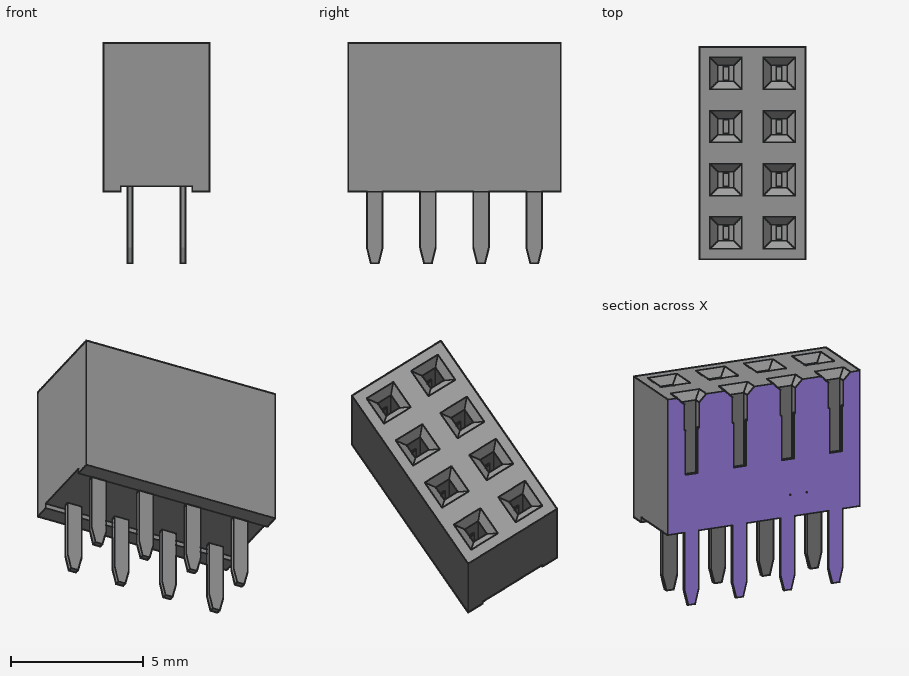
import cadquery as cq

pitch = 2.0
columns = 2
rows = 4

body_length_x = columns * pitch
body_length_y = rows * pitch
body_height = 5.6
foot_width = 0.66
foot_height = 0.2

funnel_top = 1.2
shaft_size = 0.6
funnel_depth = (funnel_top - shaft_size) / 2
shaft_depth = 3.0

pin_thickness = 0.2
pin_width = 0.6
pin_length_below_body = 2.7
tip_width = 0.3
tip_length = 0.6
fork_gap = 0.5
fork_root_height = 0.2
fork_height = 2.0


def make_housing():
    """Rectangular block with a channel along Y that leaves two standoff feet."""
    block = cq.Workplane("XY").box(
        body_length_x, body_length_y, body_height, centered=(True, True, False)
    )
    channel = cq.Workplane("XY").box(
        body_length_x - 2 * foot_width, body_length_y, foot_height, centered=(True, True, False)
    )
    return block.cut(channel)


def make_socket():
    """Cavity of one socket, centred on the Z axis and open at the housing top."""
    funnel = (
        cq.Workplane("XY", origin=(0, 0, body_height))
        .rect(funnel_top, funnel_top)
        .workplane(offset=-funnel_depth)
        .rect(shaft_size, shaft_size)
        .loft(ruled=True)
    )
    shaft = (
        cq.Workplane("XY", origin=(0, 0, body_height - funnel_depth))
        .rect(shaft_size, shaft_size)
        .extrude(-shaft_depth)
    )
    return funnel.union(shaft)


def make_pin():
    """Flat pin centred on the Z axis; its tines end in 45 degree lead-ins facing the gap."""
    bottom = -pin_length_below_body
    shaft_floor = body_height - funnel_depth - shaft_depth
    tine_end = shaft_floor + fork_height
    tine_width = (pin_width - fork_gap) / 2
    right_side = [
        (tip_width / 2, bottom),
        (pin_width / 2, bottom + tip_length),
        (pin_width / 2, tine_end),
        (fork_gap / 2, tine_end - tine_width),
        (fork_gap / 2, shaft_floor + fork_root_height),
    ]
    left_side = [(-y, z) for y, z in reversed(right_side)]
    return (
        cq.Workplane("YZ")
        .polyline(right_side + left_side)
        .close()
        .extrude(pin_thickness / 2, both=True)
    )


positions = [
    ((column - (columns - 1) / 2) * pitch, (row - (rows - 1) / 2) * pitch, 0)
    for column in range(columns)
    for row in range(rows)
]

socket = make_socket()
pin = make_pin()
result = make_housing()
for position in positions:
    result = result.cut(socket.translate(position)).union(pin.translate(position))